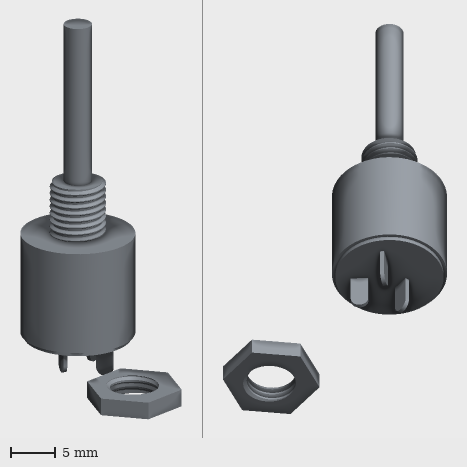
import cadquery as cq
import math

barrel_diameter = 12.95
barrel_height = 12.0
base_diameter = 12.2
base_height = 0.5
shaft_diameter = 3.2
shaft_length = 19.0
bushing_length = 6.35
lead_in_height = 0.25
bushing_top = barrel_height + bushing_length

thread_major_diameter = 6.35
thread_minor_diameter = 5.55
thread_pitch = 0.8
crest_width = 0.1
flank_half_angle = 30
root_overlap = 0.05
ridge_spare_turns = 1
bushing_thread_start = 11.5
nut_thread_start = -0.9

terminal_width = 1.97
terminal_thickness = 0.45
terminal_length = 4.1
front_terminal_y = -1.75
side_terminal_x = 2.3
side_terminal_y = 2.48
side_terminal_turn = 50

nut_flats = 9.5
nut_height = 2.0
nut_x = 22.3


def cylinder(diameter, bottom, height):
    return cq.Workplane("XY").workplane(offset=bottom).circle(diameter / 2).extrude(height)


def thread_ridge(start, top):
    """Right-handed helical ridge around the Z axis, running from start to beyond top."""
    turns = math.ceil((top - start) / thread_pitch) + ridge_spare_turns
    root_radius = thread_minor_diameter / 2 - root_overlap
    crest_radius = thread_major_diameter / 2
    crest_half = crest_width / 2
    root_half = crest_half + (crest_radius - root_radius) * math.tan(math.radians(flank_half_angle))
    helix = cq.Wire.makeHelix(thread_pitch, turns * thread_pitch, root_radius)
    profile = cq.Workplane("XZ").polyline([
        (root_radius, -root_half),
        (crest_radius, -crest_half),
        (crest_radius, crest_half),
        (root_radius, root_half),
    ]).close()
    return profile.sweep(cq.Workplane(obj=helix), isFrenet=True).translate((0, 0, start))


def threaded_rod(start, bottom, height):
    """Threaded stretch with its ridge cut off flat at the bottom and top."""
    ridge = thread_ridge(start, bottom + height)
    core_bottom = start - thread_pitch
    core_top = bottom + height + (ridge_spare_turns + 2) * thread_pitch
    core = cylinder(thread_minor_diameter, core_bottom, core_top - core_bottom)
    envelope = cylinder(thread_major_diameter + thread_pitch, bottom, height)
    return core.union(ridge).intersect(envelope)


def terminal(x, y, turn):
    """Flat blade with a round tip, hanging from the base and turned about its own axis."""
    tip_radius = terminal_width / 2
    shoulder = tip_radius - terminal_length
    blade = (
        cq.Workplane("XZ")
        .moveTo(-tip_radius, 0)
        .lineTo(-tip_radius, shoulder)
        .threePointArc((0, -terminal_length), (tip_radius, shoulder))
        .lineTo(tip_radius, 0)
        .close()
        .extrude(terminal_thickness / 2, both=True)
    )
    return blade.rotate((0, 0, 0), (0, 0, 1), turn).translate((x, y, -base_height))


def make_bushing():
    """Threaded neck whose ridge tapers off to the minor diameter at the top."""
    rod = threaded_rod(bushing_thread_start, barrel_height, bushing_length)
    lead_in_diameter = thread_major_diameter + 2 * crest_width
    lead_in = cylinder(lead_in_diameter, barrel_height, bushing_length)
    lead_in_width = (lead_in_diameter - thread_minor_diameter) / 2
    return rod.intersect(lead_in.faces(">Z").chamfer(lead_in_height, lead_in_width))


def make_housing():
    body = cylinder(barrel_diameter, 0, barrel_height)
    body = body.union(cylinder(base_diameter, -base_height, base_height))
    body = body.union(cylinder(shaft_diameter, bushing_top, shaft_length))
    body = body.union(make_bushing())

    body = body.union(terminal(0, front_terminal_y, 0))
    for side in (-1, 1):
        body = body.union(terminal(side * side_terminal_x, side_terminal_y, side * side_terminal_turn))
    return body


def make_nut():
    corner_diameter = nut_flats / math.cos(math.radians(30))
    blank = cq.Workplane("XY").polygon(6, corner_diameter).extrude(nut_height)
    threaded = blank.cut(threaded_rod(nut_thread_start, 0, nut_height))
    return threaded.translate((nut_x, 0, 0))


housing = make_housing()
nut = make_nut()

result = cq.Compound.makeCompound([housing.solids().val(), nut.solids().val()])